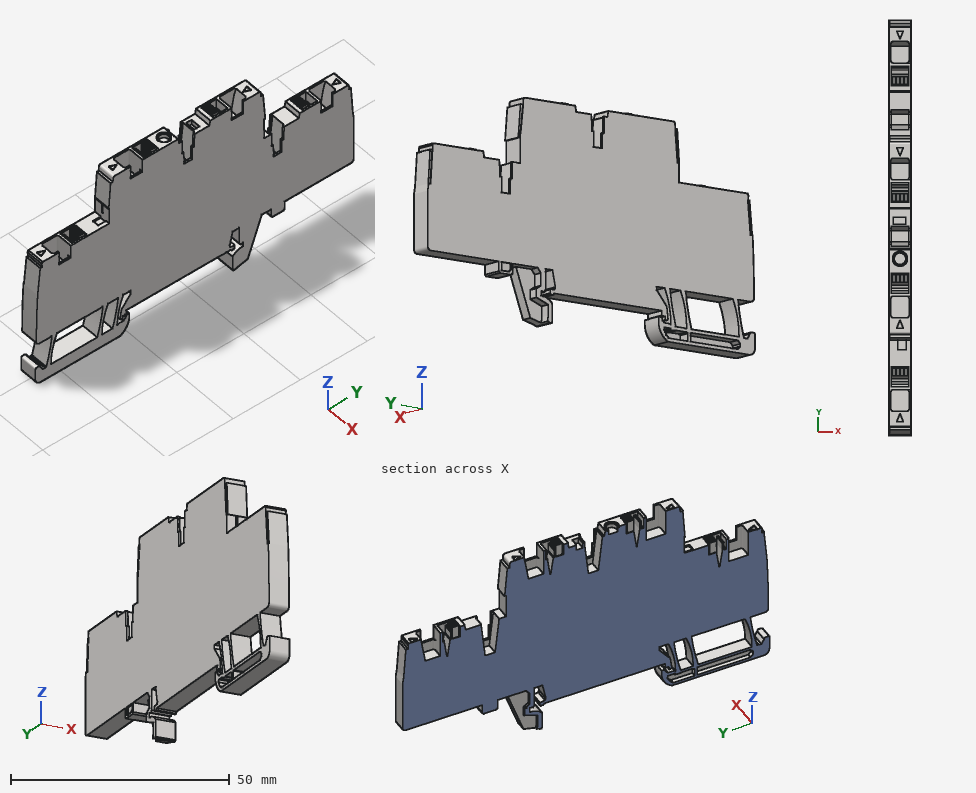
import cadquery as cq
import math

WIDTH = 5.1
LENGTH = 95.0
HEIGHT = 52.0
HALF_WIDTH = WIDTH / 2
Y_END = LENGTH / 2

CONTACT_RISE = 0.4
UPPER_ROOF = HEIGHT - CONTACT_RISE
TIER_SHIFT = 26.7
TIER_RISE = 14.1
LOWER_ROOF = UPPER_ROOF - TIER_RISE
BELLY = 12.4
RAIL_FACE = 7.0
CORNER_RADIUS = 0.95
ARC_INSET = 1 - math.sqrt(0.5)
OVERLAP = 0.95

PLATE_INSET = 0.2
PLATE_BOTTOM = 28.0

LEDGE_DROP = 1.4
SLOT_STEP_DROP = 5.3
SLOT_DROP = 8.9
SLOT_CORE_DROP = 10.8
SKIN = 0.6

BUTTON_LENGTH = 4.9
BUTTON_SLOPE = 1.1
BUTTON_DEPTH = 6.65
BUTTON_NOTCH = 3.5
NOTCH_DEPTH = 3.8
BUTTON_WIDTH = 4.2
BUTTON_CORNER = 0.6
BUTTON_Y_LOWER = 37.7
ENTRY_OFFSET = 2.9
ENTRY_LENGTH = 4.5
ENTRY_WIDTH = 4.0
ENTRY_DEPTH = 2.85
FUNNEL_LENGTH = 1.4
FUNNEL_DEPTH = 4.75
BAR_WIDTH = 0.5
BAR_DROP = 0.8
BAR_EMBED = 0.4
TOOTH_COUNT = 4
TOOTH_WIDTH = 0.52
TOOTH_SPAN = 3.2
TOOTH_LENGTH = 1.7
TOOTH_END_GAP = 0.3

ARROW_GAP = 0.6
ARROW_LENGTH = 1.8
ARROW_WIDTH = 1.5
ARROW_DEPTH = 0.2

TEST_HOLE_Y = -7.0
TEST_RIM_RADIUS = 1.7
TEST_RIM_DEPTH = 0.3
TEST_RADIUS = 1.3
TEST_DEPTH = 1.4
MARKER_DEPTH = 1.4
TOWER_RECESS_DEPTH = 0.5
TOWER_GROOVE_DEPTH = 0.3
TOWER_GROOVE_WIDTH = 0.4
TOWER_WALL_Y = -25.45
TOWER_GROOVE_TOP = 42.2

PLUG_RECESS_DEPTH = 0.4
CLIP_RECESS_DEPTH = 2.4
FOOT_RECESS_DEPTH = 2.85
FOOT_TOP = 3.8
STRUT_ROOTS = (-21.3, -25.8, -41.0)


def extrude_outline(outline, x_min=-HALF_WIDTH, x_max=HALF_WIDTH):
    """Close a YZ outline and extrude it from x_min to x_max."""
    return outline.close().extrude(x_max - x_min).translate((x_min, 0, 0))


def plate_from(points, x_min=-HALF_WIDTH, x_max=HALF_WIDTH):
    """Straight-sided YZ polygon extruded along X."""
    return extrude_outline(cq.Workplane("YZ").polyline(points), x_min, x_max)


def block(x_range, y_range, z_range):
    """Box between pairs of limits given in any order."""
    limits = [sorted(pair) for pair in (x_range, y_range, z_range)]
    sizes = [high - low for low, high in limits]
    corner = tuple(low for low, high in limits)
    return cq.Workplane("XY").box(*sizes, centered=False).translate(corner)


def bridge_slot(roof, shift):
    """Stepped slot profile; shift moves it along Y from the lower tier position."""
    ledge = roof - LEDGE_DROP
    step = roof - SLOT_STEP_DROP
    floor = roof - SLOT_DROP
    profile = [
        (31.3, roof), (31.1, ledge), (26.7, ledge), (26.5, step), (26.0, step),
        (26.0, floor), (23.6, floor), (23.5, step), (23.0, step), (23.0, ledge),
    ]
    return [(y - shift, z) for y, z in profile]


def slot_core_cutter(roof, shift):
    """Tapered widening of a bridge slot between the two side skins."""
    ledge = roof - LEDGE_DROP
    floor = roof - SLOT_CORE_DROP
    profile = [(27.1, ledge), (26.0, floor), (23.6, floor), (22.5, ledge)]
    points = [(y - shift, z) for y, z in profile]
    return plate_from(points, SKIN - HALF_WIDTH, HALF_WIDTH - SKIN)


def housing():
    """Main two-tier slab, including the block between the rail hooks."""
    ledge = LOWER_ROOF - LEDGE_DROP
    corner_inset = CORNER_RADIUS * ARC_INSET
    wall_y = -47.2
    outline = (
        cq.Workplane("YZ").moveTo(Y_END, BELLY + CORNER_RADIUS)
        .lineTo(Y_END, 26.3).lineTo(47.2, PLATE_BOTTOM).lineTo(46.6, PLATE_BOTTOM)
        .lineTo(46.1, 36.1).lineTo(46.1, LOWER_ROOF - 0.5).lineTo(45.9, LOWER_ROOF)
    )
    for point in bridge_slot(LOWER_ROOF, 0):
        outline = outline.lineTo(*point)
    outline = (
        outline.lineTo(20.7, ledge).lineTo(20.7, TOWER_GROOVE_TOP).lineTo(20.4, 44.0)
        .lineTo(19.8, 50.0).lineTo(19.8, UPPER_ROOF - 0.8)
        .threePointArc((19.6, UPPER_ROOF - 0.2), (19.0, UPPER_ROOF))
    )
    for point in bridge_slot(UPPER_ROOF, TIER_SHIFT):
        outline = outline.lineTo(*point)
    outline = (
        outline.lineTo(-4.7, UPPER_ROOF - LEDGE_DROP).lineTo(-4.9, UPPER_ROOF)
        .lineTo(-23.6, UPPER_ROOF)
        .threePointArc((-24.1, UPPER_ROOF - 0.2), (-24.3, UPPER_ROOF - 0.8))
        .lineTo(-24.4, 50.0).lineTo(-25.1, TOWER_GROOVE_TOP)
        .lineTo(TOWER_WALL_Y, TOWER_GROOVE_TOP).lineTo(TOWER_WALL_Y, LOWER_ROOF)
        .lineTo(-45.3, LOWER_ROOF).lineTo(-45.6, LOWER_ROOF - 0.5)
        .lineTo(-45.5, 36.1).lineTo(-46.25, PLATE_BOTTOM).lineTo(-46.8, PLATE_BOTTOM)
        .threePointArc((-47.1, 20.9), (wall_y, BELLY + CORNER_RADIUS))
        .threePointArc((wall_y + corner_inset, BELLY + corner_inset), (wall_y + CORNER_RADIUS, BELLY))
        .lineTo(-19.0, BELLY).lineTo(-19.0, 11.6).lineTo(-21.3, 8.8)
        .threePointArc((-21.75, 8.3), (-21.9, 7.6)).lineTo(-22.2, 5.4)
        .threePointArc((-21.8, 4.9), (-21.5, 5.0)).lineTo(-21.4, 5.8)
        .lineTo(-20.3, 5.9).lineTo(-20.4, RAIL_FACE)
        .lineTo(10.7, RAIL_FACE).lineTo(11.0, 6.65).lineTo(11.7, 6.65).lineTo(12.0, 6.9)
        .lineTo(12.0, 7.8).lineTo(10.6, 8.0).lineTo(10.4, 8.5).lineTo(11.3, BELLY)
        .lineTo(Y_END - CORNER_RADIUS, BELLY)
        .threePointArc((Y_END - corner_inset, BELLY + corner_inset), (Y_END, BELLY + CORNER_RADIUS))
    )
    return extrude_outline(outline)


def marker_plates():
    """Thin plates on the end walls, set in slightly from the -X face."""
    profiles = (
        [(45.6, PLATE_BOTTOM), (47.2, PLATE_BOTTOM), (46.6, 36.1), (45.6, 36.1)],
        [(19.5, TOWER_GROOVE_TOP), (21.1, TOWER_GROOVE_TOP), (20.4, 50.05), (19.5, 50.05)],
        [(-23.9, TOWER_GROOVE_TOP), (-25.6, TOWER_GROOVE_TOP), (-25.1, 50.05), (-23.9, 50.05)],
        [(-45.1, PLATE_BOTTOM), (-46.8, PLATE_BOTTOM), (-46.1, 36.1), (-45.1, 36.1)],
    )
    return [plate_from(points, x_min=PLATE_INSET - HALF_WIDTH) for points in profiles]


def button_cutters(inner_y, outward, roof, sloped):
    """Button pocket with its opening through the +X wall; sloped leans the outer wall."""
    outer_y = inner_y + outward * BUTTON_LENGTH
    floor = roof - BUTTON_DEPTH
    pocket = block((-BUTTON_WIDTH / 2, BUTTON_WIDTH / 2), (inner_y, outer_y), (floor, roof + OVERLAP))
    pocket = pocket.edges("|Z").fillet(BUTTON_CORNER)
    if sloped:
        toe_y = outer_y - outward * BUTTON_SLOPE
        pocket = pocket.cut(plate_from([(outer_y, floor), (toe_y, floor), (outer_y, roof)]))
    notch_y = inner_y + outward * BUTTON_NOTCH
    notch = block((0, HALF_WIDTH + OVERLAP), (inner_y, notch_y), (roof - NOTCH_DEPTH, roof + OVERLAP))
    return [pocket, notch]


def arrow_cutter(inner_y, outward, roof):
    """Engraved triangle pointing at the button."""
    tip_y = inner_y + outward * (BUTTON_LENGTH + ARROW_GAP)
    base_y = tip_y + outward * ARROW_LENGTH
    points = [(0, tip_y), (-ARROW_WIDTH / 2, base_y), (ARROW_WIDTH / 2, base_y)]
    return cq.Workplane("XY").workplane(offset=roof - ARROW_DEPTH).polyline(points).close().extrude(OVERLAP)


def entry_pocket(centre_y, roof):
    """Rectangular wire-entry pocket."""
    return block(
        (-ENTRY_WIDTH / 2, ENTRY_WIDTH / 2),
        (centre_y - ENTRY_LENGTH / 2, centre_y + ENTRY_LENGTH / 2),
        (roof - ENTRY_DEPTH, roof + OVERLAP),
    )


def funnel_cutter(centre_y, outward, roof, funnel_offset):
    """V-shaped funnel that leads the wire down from the entry pocket."""
    floor = roof - ENTRY_DEPTH
    middle_y = centre_y + outward * funnel_offset
    points = [
        (middle_y - FUNNEL_LENGTH / 2, floor),
        (middle_y, floor - FUNNEL_DEPTH),
        (middle_y + FUNNEL_LENGTH / 2, floor),
    ]
    return plate_from(points, -ENTRY_WIDTH / 2, ENTRY_WIDTH / 2)


def contact_parts(centre_y, outward, roof, bar_offset):
    """Cross bar and a row of contact teeth standing in the wire-entry pocket."""
    floor = roof - ENTRY_DEPTH - OVERLAP
    bar_y = centre_y + outward * bar_offset
    bar = block(
        (-ENTRY_WIDTH / 2 - BAR_EMBED, ENTRY_WIDTH / 2 + BAR_EMBED),
        (bar_y - BAR_WIDTH / 2, bar_y + BAR_WIDTH / 2),
        (floor, roof - BAR_DROP),
    )
    start_y = centre_y - outward * (ENTRY_LENGTH / 2 - TOOTH_END_GAP)
    pitch = (TOOTH_SPAN - TOOTH_WIDTH) / (TOOTH_COUNT - 1)
    parts = [bar]
    for index in range(TOOTH_COUNT):
        left = -TOOTH_SPAN / 2 + index * pitch
        parts.append(block(
            (left, left + TOOTH_WIDTH),
            (start_y, start_y + outward * TOOTH_LENGTH),
            (floor, roof + CONTACT_RISE),
        ))
    return parts


def roof_cutters():
    """Test hole, marker pocket, and the recesses at the foot of the -Y tower wall."""
    roof_plane = cq.Workplane("XY").workplane(offset=UPPER_ROOF)
    ledge = UPPER_ROOF - LEDGE_DROP
    return [
        roof_plane.center(0, TEST_HOLE_Y).circle(TEST_RIM_RADIUS).extrude(-TEST_RIM_DEPTH),
        roof_plane.center(0, TEST_HOLE_Y).circle(TEST_RADIUS).extrude(-TEST_DEPTH),
        block((-1.5, 1.3), (0.9, 2.5), (ledge - MARKER_DEPTH, ledge + OVERLAP)),
        block((-0.5, 1.4), (TOWER_WALL_Y, -27.8), (LOWER_ROOF - TOWER_RECESS_DEPTH, LOWER_ROOF + OVERLAP)),
        block(
            (-TOWER_GROOVE_WIDTH / 2, TOWER_GROOVE_WIDTH / 2),
            (TOWER_WALL_Y - OVERLAP, TOWER_WALL_Y + TOWER_GROOVE_DEPTH),
            (39.1, TOWER_GROOVE_TOP),
        ),
    ]


def plug():
    """Small plug under the housing with a hollow in its -X face."""
    body = block((-HALF_WIDTH, HALF_WIDTH), (22.8, 26.9), (9.8, BELLY + OVERLAP))
    body = body.edges("|X and <Z").chamfer(0.4)
    hollow = plate_from(
        [(26.0, BELLY), (26.0, 10.4), (23.8, 10.4), (23.3, 11.0), (23.3, BELLY)],
        x_max=PLUG_RECESS_DEPTH - HALF_WIDTH,
    )
    return body.cut(hollow)


def rail_clip():
    """Spring clip: a full-width hooked rim backed by a recessed web."""
    outline = (
        cq.Workplane("YZ").moveTo(19.8, BELLY + OVERLAP).lineTo(20.0, BELLY).lineTo(15.9, 1.0)
        .lineTo(12.7, 0.3).lineTo(12.0, 0).lineTo(11.5, 0).lineTo(11.3, 0.3).lineTo(11.3, 4.6)
        .threePointArc((12.4, 5.5), (14.5, 6.0)).lineTo(14.4, 7.1).lineTo(13.7, 6.9)
        .lineTo(13.3, 7.4).lineTo(13.3, BELLY + OVERLAP)
    )
    hollow = plate_from(
        [
            (20.9, BELLY), (15.6, BELLY), (14.6, 11.3), (14.6, 8.4), (16.0, 7.5), (16.0, 5.4),
            (12.5, 4.2), (12.5, 1.6), (12.7, 0), (20.9, 0),
        ],
        x_max=CLIP_RECESS_DEPTH - HALF_WIDTH,
    )
    return extrude_outline(outline).cut(hollow)


def strut(root_y):
    """Curved leaf between the housing and the foot, slimmer at mid-height."""
    outline = (
        cq.Workplane("YZ").moveTo(root_y, BELLY + OVERLAP).lineTo(root_y, BELLY)
        .threePointArc((root_y - 1.3, 8.4), (root_y - 1.8, FOOT_TOP))
        .lineTo(root_y - 1.8, FOOT_TOP - OVERLAP).lineTo(root_y - 3.2, FOOT_TOP - OVERLAP)
        .lineTo(root_y - 3.2, FOOT_TOP)
        .threePointArc((root_y - 2.2, 8.2), (root_y - 1.5, BELLY))
        .lineTo(root_y - 1.5, BELLY + OVERLAP)
    )
    return extrude_outline(outline)


def foot():
    """Foot bar with an upturned toe at each end and two long recesses in its -X face."""
    outline = (
        cq.Workplane("YZ").moveTo(-22.2, 0)
        .threePointArc((-20.2, 1.8), (-19.5, 4.5)).lineTo(-19.5, 5.5).lineTo(-20.4, 5.5)
        .lineTo(-20.6, 4.8).lineTo(-21.2, 4.3).lineTo(-22.8, 4.3).lineTo(-23.4, FOOT_TOP)
        .lineTo(-44.35, FOOT_TOP).lineTo(-44.6, 3.7).lineTo(-45.3, 3.7).lineTo(-46.0, 4.8)
        .threePointArc((-46.2, 5.2), (-46.5, 5.3)).lineTo(-47.0, 5.3)
        .threePointArc((-47.4, 5.1), (-Y_END, 4.8)).lineTo(-Y_END, 1.5)
        .threePointArc((-47.0, 0.5), (-46.0, 0))
    )
    long_recess = block(
        (-HALF_WIDTH, FOOT_RECESS_DEPTH - HALF_WIDTH), (-43.2, -28.8), (0.9, 2.9)
    ).edges("|X and <Y").chamfer(0.8)
    short_recess = plate_from(
        [
            (-28.0, 0.9), (-22.5, 0.9), (-21.75, 1.5), (-21.1, 2.7), (-21.3, 3.2),
            (-24.1, 3.2), (-24.3, 2.9), (-27.7, 2.9), (-28.0, 2.7),
        ],
        x_max=FOOT_RECESS_DEPTH - HALF_WIDTH,
    )
    return extrude_outline(outline).cut(long_recess).cut(short_recess)


CONNECTIONS = (
    (BUTTON_Y_LOWER, 1, LOWER_ROOF, True, 0, 1.1),
    (BUTTON_Y_LOWER - TIER_SHIFT, 1, UPPER_ROOF, True, 0, 1.1),
    (-15.6, -1, UPPER_ROOF, False, 1.4, 0.5),
    (-36.9, -1, LOWER_ROOF, False, 1.4, 0.5),
)

result = housing()
for plate in marker_plates():
    result = result.union(plate)

for slot_roof, slot_shift in ((LOWER_ROOF, 0), (UPPER_ROOF, TIER_SHIFT)):
    result = result.cut(slot_core_cutter(slot_roof, slot_shift))

for button_y, direction, roof_z, leaning, bar_shift, funnel_shift in CONNECTIONS:
    entry_y = button_y - direction * ENTRY_OFFSET
    cutters = button_cutters(button_y, direction, roof_z, leaning)
    cutters.append(arrow_cutter(button_y, direction, roof_z))
    cutters.append(entry_pocket(entry_y, roof_z))
    cutters.append(funnel_cutter(entry_y, direction, roof_z, funnel_shift))
    for cutter in cutters:
        result = result.cut(cutter)
    for contact in contact_parts(entry_y, direction, roof_z, bar_shift):
        result = result.union(contact)

for cutter in roof_cutters():
    result = result.cut(cutter)

result = result.union(plug()).union(rail_clip()).union(foot())
for strut_y in STRUT_ROOTS:
    result = result.union(strut(strut_y))